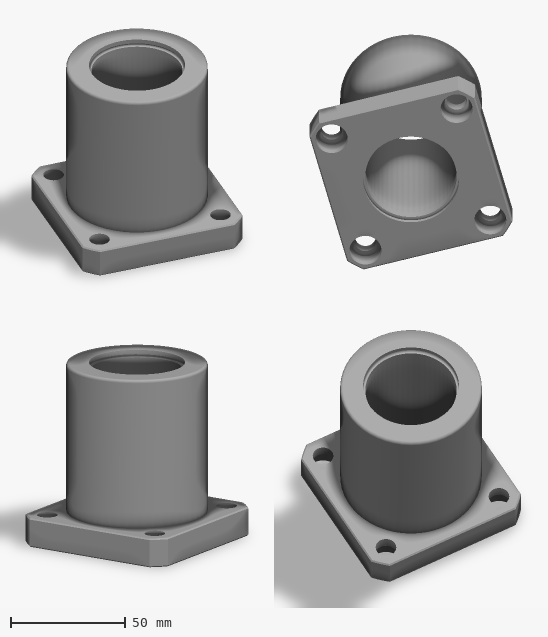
import cadquery as cq

flange_diameter = 98.0
corner_width = 8.4
flange_height = 13.0
flange_chamfer = 0.6

total_height = 80.0
sleeve_diameter = 62.0
sleeve_edge_radius = 1.3

bore_diameter = 40.0
recess_diameter = 42.0
recess_depth = 2.0
groove_diameter = 44.0
groove_width = 1.1

hole_diameter = 9.0
counterbore_diameter = 14.0
counterbore_depth = 8.0
hole_circle_diameter = 80.0
hole_count = 4


def cylinder(diameter, bottom, height):
    return cq.Workplane("XY").workplane(offset=bottom).circle(diameter / 2).extrude(height)


def make_flange():
    radius = flange_diameter / 2
    half_corner = corner_width / 2
    corner_inset = (radius**2 - half_corner**2) ** 0.5
    tip = corner_inset + half_corner
    square = [(tip, 0), (0, tip), (-tip, 0), (0, -tip)]
    plate = cq.Workplane("XY").polyline(square).close().extrude(flange_height)
    plate = plate.intersect(cylinder(flange_diameter, 0, flange_height))
    return plate.faces("<Z or >Z").edges().chamfer(flange_chamfer)


def make_sleeve():
    sleeve = cylinder(sleeve_diameter, 0, total_height)
    return sleeve.faces(">Z").edges().fillet(sleeve_edge_radius)


def make_bore():
    bore = cylinder(bore_diameter, 0, total_height)
    bottom_end = cylinder(recess_diameter, 0, recess_depth).union(
        cylinder(groove_diameter, recess_depth, groove_width)
    )
    top_end = bottom_end.mirror("XY", (0, 0, total_height / 2))
    return bore.union(bottom_end).union(top_end)


def make_mounting_holes():
    hole = cylinder(hole_diameter, 0, flange_height).union(
        cylinder(counterbore_diameter, 0, counterbore_depth)
    )
    hole = hole.translate((hole_circle_diameter / 2, 0, 0))
    holes = cq.Workplane("XY")
    for index in range(hole_count):
        holes = holes.add(hole.rotate((0, 0, 0), (0, 0, 1), index * 360 / hole_count))
    return holes.combine()


result = make_flange().union(make_sleeve()).cut(make_bore()).cut(make_mounting_holes())